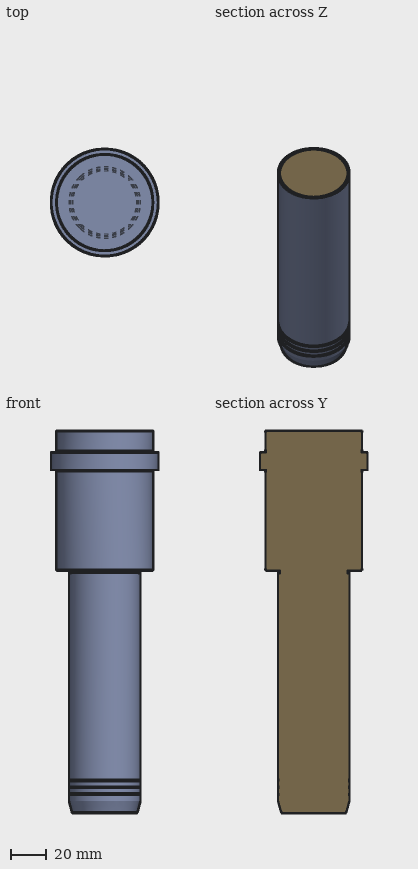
import cadquery as cq

total_length = 213.0

head_diameter = 54.0
head_length = 78.0
head_bottom_chamfer = 0.6
head_top_chamfer = 0.5

cap_height = 12.0
flange_diameter = 60.0
flange_height = 10.0
flange_chamfer = 0.5
relief_width = 0.9
relief_depth = 0.32

shaft_diameter = 40.0
neck_depth = 1.0
neck_length = 1.3

groove_count = 3
groove_depth = 0.25
groove_width = 1.0
groove_pitch = 3.8
lowest_groove_height = 10.6

taper_reduction = 1.7
taper_length = 6.8
tip_chamfer = 0.6

head_radius = head_diameter / 2
flange_radius = flange_diameter / 2
shaft_radius = shaft_diameter / 2
head_bottom = total_length - head_length
flange_top = total_length - cap_height
flange_bottom = flange_top - flange_height


def cylinder(radius, bottom, top):
    """Solid cylinder on the Z axis between two heights."""
    return cq.Workplane("XY").workplane(offset=bottom).circle(radius).extrude(top - bottom)


def revolve_outline(points):
    """Turn a closed outline of (radius, height) points around the Z axis."""
    return cq.Workplane("XZ").polyline(points).close().revolve(360, (0, 0, 0), (0, 1, 0))


def make_head():
    head = cylinder(head_radius, head_bottom, total_length)
    head = head.faces("<Z").chamfer(head_bottom_chamfer)
    head = head.faces(">Z").chamfer(head_top_chamfer)
    for relief_bottom in (flange_bottom - relief_width, flange_top):
        head = head.cut(make_relief(relief_bottom))
    return head


def make_relief(bottom):
    """Square-sided ring to remove from the head."""
    top = bottom + relief_width
    ring = cylinder(flange_radius, bottom, top)
    return ring.cut(cylinder(head_radius - relief_depth, bottom, top))


def make_flange():
    flange = cylinder(flange_radius, flange_bottom, flange_top)
    return flange.faces(">Z").chamfer(flange_chamfer)


def make_shaft():
    """Shaft with its tapered tip and the narrower neck under the head."""
    tip_radius = shaft_radius - taper_reduction
    neck_radius = shaft_radius - neck_depth
    neck_bottom = head_bottom - neck_length
    shaft = revolve_outline([
        (0, 0),
        (tip_radius - tip_chamfer, 0),
        (tip_radius, tip_chamfer),
        (shaft_radius, taper_length),
        (shaft_radius, neck_bottom),
        (neck_radius, neck_bottom),
        (neck_radius, head_bottom),
        (0, head_bottom),
    ])
    for index in range(groove_count):
        shaft = shaft.cut(make_groove(lowest_groove_height + index * groove_pitch))
    return shaft


def make_groove(middle):
    """V-shaped ring to remove from the shaft, centred at a height."""
    return revolve_outline([
        (shaft_radius - groove_depth, middle),
        (shaft_radius, middle - groove_width / 2),
        (shaft_radius + groove_depth, middle - groove_width / 2),
        (shaft_radius + groove_depth, middle + groove_width / 2),
        (shaft_radius, middle + groove_width / 2),
    ])


result = make_shaft().union(make_head()).union(make_flange())